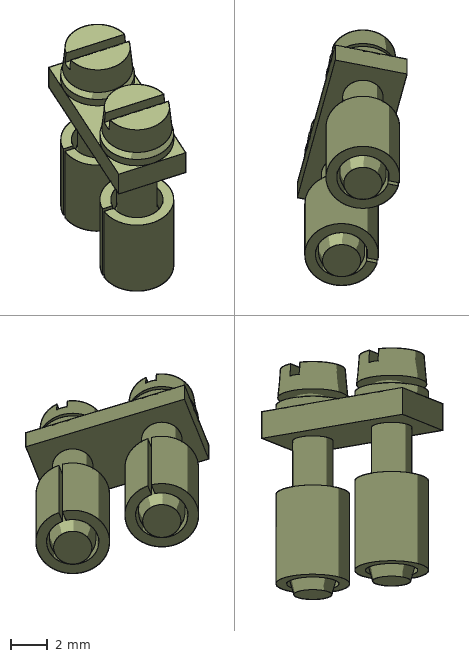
import cadquery as cq
import math

PITCH = 5.1
OUTER_DIAMETER = 4.0

BAR_BOTTOM = 8.6
BAR_THICKNESS = 1.5

WASHER_RIM_HEIGHT = 0.48
WASHER_CONE_HEIGHT = 0.25
WASHER_TOP_RADIUS = 1.15

SLEEVE_BOTTOM = 0.6
SLEEVE_HEIGHT = 5.0
SLEEVE_BORE_RADIUS = 1.41
SLIT_WIDTH = 0.2

SCREW_TOP = 12.6
SHANK_RADIUS = 1.1
THREAD_RADIUS = 1.25
TIP_RADIUS = 1.03
TIP_CONE_HEIGHT = 0.81
THREAD_TOP = 4.5
SHANK_START = 5.1
NECK_FILLET = 0.2
HEAD_HEIGHT = 1.58
HEAD_BOTTOM_RADIUS = 1.9
HEAD_TOP_RADIUS = 1.76
DRIVE_SLOT_WIDTH = 0.59
DRIVE_SLOT_DEPTH = 0.69

OUTER_RADIUS = OUTER_DIAMETER / 2
BAR_LENGTH = PITCH + OUTER_DIAMETER
BAR_TOP = BAR_BOTTOM + BAR_THICKNESS
HEAD_BOTTOM = SCREW_TOP - HEAD_HEIGHT
AXES_X = (-PITCH / 2, PITCH / 2)


def make_bar():
    """Flat rectangular bar with a close-fitting hole for each screw shank."""
    bar = cq.Workplane("XY").workplane(offset=BAR_BOTTOM)
    bar = bar.rect(BAR_LENGTH, OUTER_DIAMETER).extrude(BAR_THICKNESS)
    holes = (
        cq.Workplane("XY")
        .workplane(offset=BAR_BOTTOM)
        .pushPoints([(x, 0) for x in AXES_X])
        .circle(SHANK_RADIUS)
        .extrude(BAR_THICKNESS)
    )
    return bar.cut(holes)


def make_washer(x):
    """Washer with a straight rim and a conical top, fitted around the shank."""
    rim_top = BAR_TOP + WASHER_RIM_HEIGHT
    cone_top = rim_top + WASHER_CONE_HEIGHT
    profile = [
        (SHANK_RADIUS, BAR_TOP),
        (OUTER_RADIUS, BAR_TOP),
        (OUTER_RADIUS, rim_top),
        (WASHER_TOP_RADIUS, cone_top),
        (SHANK_RADIUS, cone_top),
    ]
    washer = cq.Workplane("XZ").polyline(profile).close().revolve(360, (0, 0), (0, 1))
    return washer.translate((x, 0, 0))


def make_screw(x):
    """Screw with a tapered slotted head, a plain shank, a thicker thread and a conical tip."""
    fillet_start = HEAD_BOTTOM - NECK_FILLET
    fillet_end_radius = SHANK_RADIUS + NECK_FILLET
    fillet_mid_offset = NECK_FILLET * (1 - math.sqrt(0.5))
    fillet_mid = (SHANK_RADIUS + fillet_mid_offset, HEAD_BOTTOM - fillet_mid_offset)
    screw = (
        cq.Workplane("XZ")
        .moveTo(0, 0)
        .lineTo(TIP_RADIUS, 0)
        .lineTo(THREAD_RADIUS, TIP_CONE_HEIGHT)
        .lineTo(THREAD_RADIUS, THREAD_TOP)
        .lineTo(SHANK_RADIUS, SHANK_START)
        .lineTo(SHANK_RADIUS, fillet_start)
        .threePointArc(fillet_mid, (fillet_end_radius, HEAD_BOTTOM))
        .lineTo(HEAD_BOTTOM_RADIUS, HEAD_BOTTOM)
        .lineTo(HEAD_TOP_RADIUS, SCREW_TOP)
        .lineTo(0, SCREW_TOP)
        .close()
        .revolve(360, (0, 0), (0, 1))
    )
    drive_slot = (
        cq.Workplane("XY")
        .workplane(offset=SCREW_TOP - DRIVE_SLOT_DEPTH)
        .rect(DRIVE_SLOT_WIDTH, 2 * HEAD_BOTTOM_RADIUS)
        .extrude(DRIVE_SLOT_DEPTH)
    )
    return screw.cut(drive_slot).translate((x, 0, 0))


def make_sleeve(x):
    """Tube around the thread, slit along its full height on the -Y side."""
    base = cq.Workplane("XY").workplane(offset=SLEEVE_BOTTOM)
    tube = base.circle(OUTER_RADIUS).circle(SLEEVE_BORE_RADIUS).extrude(SLEEVE_HEIGHT)
    slit = base.center(0, -OUTER_RADIUS / 2).rect(SLIT_WIDTH, OUTER_RADIUS).extrude(SLEEVE_HEIGHT)
    return tube.cut(slit).translate((x, 0, 0))


bodies = [make_bar().val()]
for axis_x in AXES_X:
    bodies.append(make_washer(axis_x).val())
    bodies.append(make_screw(axis_x).val())
    bodies.append(make_sleeve(axis_x).val())

result = cq.Compound.makeCompound(bodies)